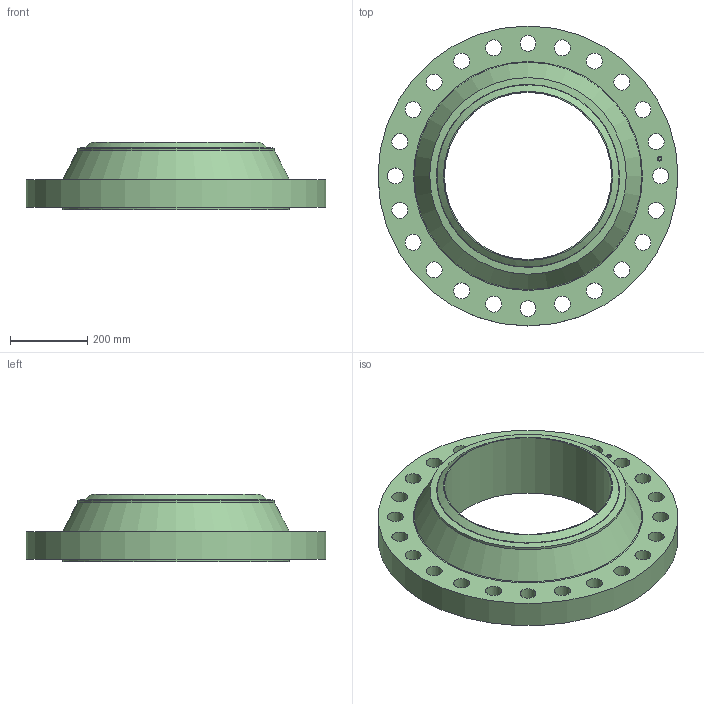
import cadquery as cq
import math

flange_diameter = 775.0
flange_bottom = 6.4
flange_top = 77.0
raised_face_diameter = 586.0

overall_height = 174.5
hub_base_diameter = 588.0
hub_fillet = 3.0
hub_end_diameter = 508.0
land_bottom = 152.5
land_top = 159.0
shoulder_diameter = 471.0
shoulder_height = 161.0
shoulder_fillet = 2.5
weld_root_diameter = 437.0
bore_diameter = 432.0

bolt_count = 24
bolt_circle_diameter = 685.8
bolt_hole_diameter = 41.3
small_hole_diameter = 8.5
small_hole_depth = 12.0
countersink_diameter = 12.2
countersink_angle = 90.0

match_tolerance = 0.01


def flange_body():
    """Revolve the half section of flange, hub and bore about the Z axis."""
    section = [
        (bore_diameter / 2, 0),
        (raised_face_diameter / 2, 0),
        (raised_face_diameter / 2, flange_bottom),
        (flange_diameter / 2, flange_bottom),
        (flange_diameter / 2, flange_top),
        (hub_base_diameter / 2, flange_top),
        (hub_end_diameter / 2, land_bottom),
        (hub_end_diameter / 2, land_top),
        (shoulder_diameter / 2, shoulder_height),
        (weld_root_diameter / 2, overall_height),
        (bore_diameter / 2, overall_height),
    ]
    return cq.Workplane("XZ").polyline(section).close().revolve(360, (0, 0, 0), (0, 1, 0))


def bolt_holes():
    """Cylinders through the full flange thickness, the first one on the +X axis."""
    return (
        cq.Workplane("XY")
        .polarArray(bolt_circle_diameter / 2, 0, 360, bolt_count)
        .circle(bolt_hole_diameter / 2)
        .extrude(flange_top)
    )


def fillet_circle(body, diameter, height, fillet_radius):
    """Round the circular edge of the given diameter that lies at the given height."""

    def is_wanted(edge):
        return (
            edge.geomType() == "CIRCLE"
            and abs(edge.radius() - diameter / 2) < match_tolerance
            and abs(edge.Center().z - height) < match_tolerance
        )

    return body.edges().filter(is_wanted).fillet(fillet_radius)


def small_hole():
    """Countersunk blind hole in the flange top, half a bolt pitch from the +X axis."""
    angle = math.radians(360 / bolt_count / 2)
    radius = bolt_circle_diameter / 2
    hole_radius = small_hole_diameter / 2
    sink_radius = countersink_diameter / 2
    sink_depth = (sink_radius - hole_radius) / math.tan(math.radians(countersink_angle / 2))
    half_section = [
        (0, 0),
        (sink_radius, 0),
        (hole_radius, -sink_depth),
        (hole_radius, -small_hole_depth),
        (0, -small_hole_depth),
    ]
    cutter = cq.Workplane("XZ").polyline(half_section).close().revolve(360, (0, 0, 0), (0, 1, 0))
    return cutter.translate((radius * math.cos(angle), radius * math.sin(angle), flange_top))


body = flange_body()
body = fillet_circle(body, hub_base_diameter, flange_top, hub_fillet)
body = fillet_circle(body, shoulder_diameter, shoulder_height, shoulder_fillet)

result = body.cut(bolt_holes()).cut(small_hole())